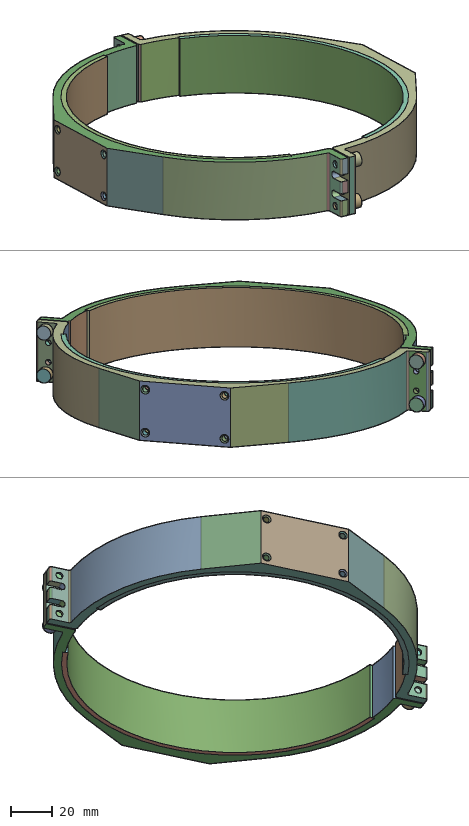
import cadquery as cq
import math

WIDTH = 30.0
OUTER_RADIUS = 88.5
BORE_RADIUS = 83.4
LINER_OUTER_RADIUS = 84.5
LINER_INNER_RADIUS = 82.0
LINER_END_ANGLE = 15
SPLIT_GAP = 0.8
BORE_CHAMFER = 1.0

PAD_DISTANCE = 90.5
PAD_HALF_LENGTH = 23.0
PAD_HOLE_X = 20.0
PAD_HOLE_DIAMETER = 3.0
PAD_HOLE_DEPTH = 5.0
DRILL_POINT_DEPTH = 0.9
PAD_COUNTERSINK_DIAMETER = 4.4

FLANGE_REACH = 99
FLANGE_FACE = 4.5
FLANGE_FILLET = 1.0
ROOT_FILLET = 1.0
SLOT_X = 92.9
SLOT_Z = 5.0
SLOT_WIDTH = 3.5
SLOT_HOLE_DIAMETER = 2.8

SCREW_X = 94.0
SCREW_Z = 10.9
SCREW_DIAMETER = 3.5
SCREW_LENGTH = 8.0
HEAD_DIAMETER = 7.1
HEAD_HEIGHT = 4.2


def cylinder_along_y(diameter, x, z, y_start, y_end):
    """Cylinder parallel to Y between two Y positions."""
    direction = cq.Vector(0, math.copysign(1, y_end - y_start), 0)
    start = cq.Vector(x, y_start, z)
    return cq.Workplane(cq.Solid.makeCylinder(diameter / 2, abs(y_end - y_start), start, direction))


def mirrored_positions(x, z):
    """The four points (+-x, +-z)."""
    return [(side * x, level * z) for side in (-1, 1) for level in (-1, 1)]


def disc(radius):
    """Solid disc as tall as the clamp, centred on the origin."""
    return cq.Workplane("XY").circle(radius).extrude(WIDTH / 2, both=True)


def liner_body():
    """Arc-shaped liner strip on the +Y side of the ring."""
    angle = math.radians(LINER_END_ANGLE)

    def on_circle(radius, a):
        return (radius * math.cos(a), radius * math.sin(a))

    return (
        cq.Workplane("XY")
        .workplane(offset=-WIDTH / 2)
        .moveTo(*on_circle(LINER_INNER_RADIUS, angle))
        .lineTo(*on_circle(LINER_OUTER_RADIUS, angle))
        .threePointArc((0, LINER_OUTER_RADIUS), on_circle(LINER_OUTER_RADIUS, math.pi - angle))
        .lineTo(*on_circle(LINER_INNER_RADIUS, math.pi - angle))
        .threePointArc((0, LINER_INNER_RADIUS), on_circle(LINER_INNER_RADIUS, angle))
        .close()
        .extrude(WIDTH)
    )


def pad_block():
    """Pad whose slanted flanks run tangent into the outer circle."""
    corner_distance = math.hypot(PAD_HALF_LENGTH, PAD_DISTANCE)
    corner_angle = math.atan2(PAD_DISTANCE, PAD_HALF_LENGTH)
    tangent_angle = corner_angle - math.acos(OUTER_RADIUS / corner_distance)
    tangent_x = OUTER_RADIUS * math.cos(tangent_angle)
    tangent_y = OUTER_RADIUS * math.sin(tangent_angle)
    return (
        cq.Workplane("XY")
        .polyline([
            (0, 0),
            (tangent_x, tangent_y),
            (PAD_HALF_LENGTH, PAD_DISTANCE),
            (-PAD_HALF_LENGTH, PAD_DISTANCE),
            (-tangent_x, tangent_y),
        ])
        .close()
        .extrude(WIDTH / 2, both=True)
    )


def pad_hole(x, z):
    """Blind, countersunk, drill-pointed hole going inward from the pad face."""
    hole_radius = PAD_HOLE_DIAMETER / 2
    mouth_radius = PAD_COUNTERSINK_DIAMETER / 2
    countersink_depth = mouth_radius - hole_radius
    profile = cq.Workplane("XY").polyline([
        (0, 0),
        (mouth_radius, 0),
        (hole_radius, -countersink_depth),
        (hole_radius, -PAD_HOLE_DEPTH),
        (0, -PAD_HOLE_DEPTH - DRILL_POINT_DEPTH),
    ]).close()
    return profile.revolve(360, (0, 0, 0), (0, 1, 0)).translate((x, PAD_DISTANCE, z))


def clamp_half():
    """Half ring on the +Y side with pad, flanges and screw holes."""
    flanges = (
        cq.Workplane("XY")
        .box(2 * FLANGE_REACH, FLANGE_FACE, WIDTH, centered=(True, False, True))
        .edges("|Z and >Y")
        .fillet(FLANGE_FILLET)
    )
    half = disc(OUTER_RADIUS).union(pad_block()).union(flanges)

    root_x = math.sqrt(OUTER_RADIUS**2 - FLANGE_FACE**2)
    for side in (-1, 1):
        root = cq.selectors.NearestToPointSelector((side * root_x, FLANGE_FACE, 0))
        half = half.edges("|Z").edges(root).fillet(ROOT_FILLET)

    positive_side = cq.Workplane("XY").box(
        2 * FLANGE_REACH, FLANGE_REACH, WIDTH, centered=(True, False, True)
    )
    half = half.intersect(positive_side.translate((0, SPLIT_GAP / 2, 0)))
    half = half.cut(disc(BORE_RADIUS))
    bore_x = math.sqrt(BORE_RADIUS**2 - (SPLIT_GAP / 2)**2)
    for side in (-1, 1):
        bore_edge = cq.selectors.NearestToPointSelector((side * bore_x, SPLIT_GAP / 2, 0))
        half = half.edges("|Z").edges(bore_edge).chamfer(BORE_CHAMFER)
    half = half.cut(liner_body())

    for x, z in mirrored_positions(PAD_HOLE_X, SCREW_Z):
        half = half.cut(pad_hole(x, z))
    for x, z in mirrored_positions(SCREW_X, SCREW_Z):
        half = half.cut(cylinder_along_y(SCREW_DIAMETER, x, z, 0, FLANGE_FACE))
    for x, z in mirrored_positions(SLOT_X, SLOT_Z):
        half = half.cut(cylinder_along_y(SLOT_HOLE_DIAMETER, x, z, 0, FLANGE_FACE))
    return half


def open_slots(half):
    """Cut round-ended slots, open at the flange ends, through the -Y half's flanges."""
    for x, z in mirrored_positions(SLOT_X, SLOT_Z):
        half = half.cut(cylinder_along_y(SLOT_WIDTH, x, z, 0, -FLANGE_FACE))
        slot = cq.Workplane("XY").box(FLANGE_REACH - SLOT_X, 2 * FLANGE_FACE, SLOT_WIDTH)
        slot_middle = math.copysign((FLANGE_REACH + SLOT_X) / 2, x)
        half = half.cut(slot.translate((slot_middle, 0, z)))
    return half


def screw(x, z):
    """Cap screw with its head on the +Y flange."""
    shank = cylinder_along_y(SCREW_DIAMETER, x, z, FLANGE_FACE - SCREW_LENGTH, FLANGE_FACE)
    return shank.union(cylinder_along_y(HEAD_DIAMETER, x, z, FLANGE_FACE, FLANGE_FACE + HEAD_HEIGHT))


rear_half = clamp_half()
front_half = open_slots(clamp_half().mirror("XZ"))
rear_liner = liner_body()
front_liner = rear_liner.mirror("XZ")
screws = [screw(x, z).val() for x, z in mirrored_positions(SCREW_X, SCREW_Z)]

result = cq.Compound.makeCompound([
    rear_half.val(),
    front_half.val(),
    rear_liner.val(),
    front_liner.val(),
    *screws,
])